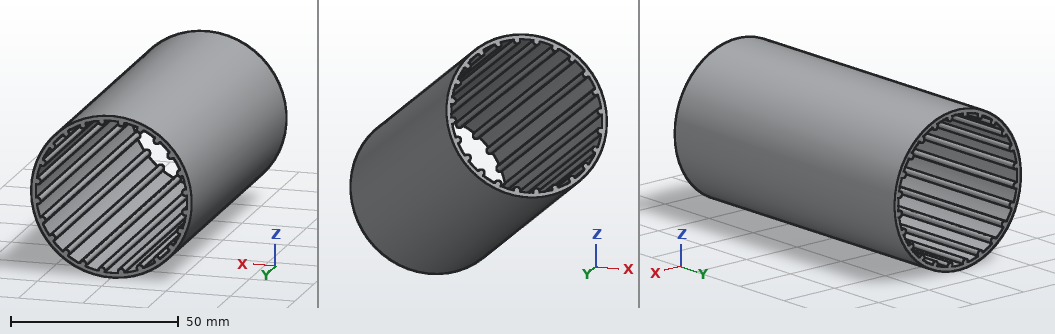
import cadquery as cq

length = 100.0
outer_diameter = 50.0
wall_thickness = 1.5
outer_radius = outer_diameter / 2
bore_radius = outer_radius - wall_thickness

rib_count = 24
rib_width = 2.0
rib_tip_radius = 22.2
rib_pitch_angle = 360 / rib_count
rib_root_radius = outer_radius - wall_thickness / 2


def make_tube():
    """Plain round tube centred on the origin."""
    return (
        cq.Workplane("XZ", origin=(0, length / 2, 0))
        .circle(outer_radius)
        .circle(bore_radius)
        .extrude(length)
    )


def make_rib():
    """One full-length rib on the +X side of the bore."""
    half_width = rib_width / 2
    nose_center_radius = rib_tip_radius + half_width
    return (
        cq.Workplane("XZ", origin=(0, length / 2, 0))
        .moveTo(rib_root_radius, half_width)
        .lineTo(nose_center_radius, half_width)
        .threePointArc((rib_tip_radius, 0), (nose_center_radius, -half_width))
        .lineTo(rib_root_radius, -half_width)
        .close()
        .extrude(length)
    )


result = make_tube()
rib = make_rib()
for index in range(rib_count):
    angle = (index + 0.5) * rib_pitch_angle
    result = result.union(rib.rotate((0, 0, 0), (0, 1, 0), angle))
result = result.clean()